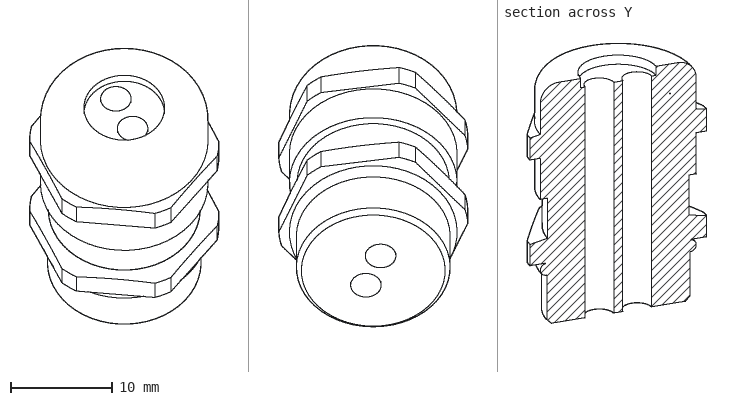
import cadquery as cq
import math

TOTAL_HEIGHT = 26.2
RING_BOTTOM = 5.32
LOWER_HEX_BOTTOM = 6.65
LOWER_HEX_TOP = 9.38
CAP_BOTTOM = 13.7
UPPER_HEX_BOTTOM = 18.18
UPPER_HEX_TOP = 20.83

CAP_RADIUS = 8.28
CAP_ROUNDING = 2.0
NECK_RADIUS = 7.52
SPIGOT_RADIUS = 7.6
SPIGOT_CHAMFER = 0.5
RING_HEIGHT = LOWER_HEX_BOTTOM - RING_BOTTOM
RING_SECTION_RADIUS = RING_HEIGHT / 2

HEX_ACROSS_FLATS = 17.0
HEX_CORNER_RADIUS = 9.35
BEVEL_START_RADIUS = 7.5
BEVEL_ANGLE = 11.0

RECESS_RADIUS = 3.98
RECESS_DEPTH = 1.0
CABLE_HOLE_DIAMETER = 3.0
CABLE_HOLE_SPACING = 4.0


def cylinder(radius, bottom, top):
    return cq.Workplane("XY").workplane(offset=bottom).circle(radius).extrude(top - bottom)


def hex_collar(bottom, top, bevel_start_radius):
    """Hexagon whose corners are turned down and whose top face falls away in a cone."""
    prism = (
        cq.Workplane("XY")
        .workplane(offset=bottom)
        .polygon(6, HEX_ACROSS_FLATS / math.cos(math.pi / 6))
        .extrude(top - bottom)
    )
    bevel_width = HEX_CORNER_RADIUS - bevel_start_radius
    bevel_drop = bevel_width * math.tan(math.radians(BEVEL_ANGLE))
    envelope = (
        cq.Workplane("XZ")
        .moveTo(0, bottom)
        .lineTo(HEX_CORNER_RADIUS, bottom)
        .lineTo(HEX_CORNER_RADIUS, top - bevel_drop)
        .lineTo(bevel_start_radius, top)
        .lineTo(0, top)
        .close()
        .revolve(360, (0, 0, 0), (0, 1, 0))
    )
    return prism.intersect(envelope)


spigot = cylinder(SPIGOT_RADIUS, 0, LOWER_HEX_BOTTOM).faces("<Z").chamfer(SPIGOT_CHAMFER)

rim_center_radius = CAP_RADIUS - RING_SECTION_RADIUS
sealing_ring = (
    cq.Workplane("XZ")
    .moveTo(0, RING_BOTTOM)
    .lineTo(rim_center_radius, RING_BOTTOM)
    .threePointArc(
        (CAP_RADIUS, RING_BOTTOM + RING_SECTION_RADIUS),
        (rim_center_radius, LOWER_HEX_BOTTOM),
    )
    .lineTo(0, LOWER_HEX_BOTTOM)
    .close()
    .revolve(360, (0, 0, 0), (0, 1, 0))
)

lower_hex = hex_collar(LOWER_HEX_BOTTOM, LOWER_HEX_TOP, BEVEL_START_RADIUS)
neck = cylinder(NECK_RADIUS, LOWER_HEX_TOP, CAP_BOTTOM)
cap = cylinder(CAP_RADIUS, CAP_BOTTOM, TOTAL_HEIGHT).faces(">Z").edges().fillet(CAP_ROUNDING)
upper_hex = hex_collar(UPPER_HEX_BOTTOM, UPPER_HEX_TOP, CAP_RADIUS)

result = spigot
for section in (sealing_ring, lower_hex, neck, cap, upper_hex):
    result = result.union(section)

result = result.cut(cylinder(RECESS_RADIUS, TOTAL_HEIGHT - RECESS_DEPTH, TOTAL_HEIGHT))
for side in (-1, 1):
    cable_hole = cylinder(CABLE_HOLE_DIAMETER / 2, 0, TOTAL_HEIGHT)
    result = result.cut(cable_hole.translate((side * CABLE_HOLE_SPACING / 2, 0, 0)))